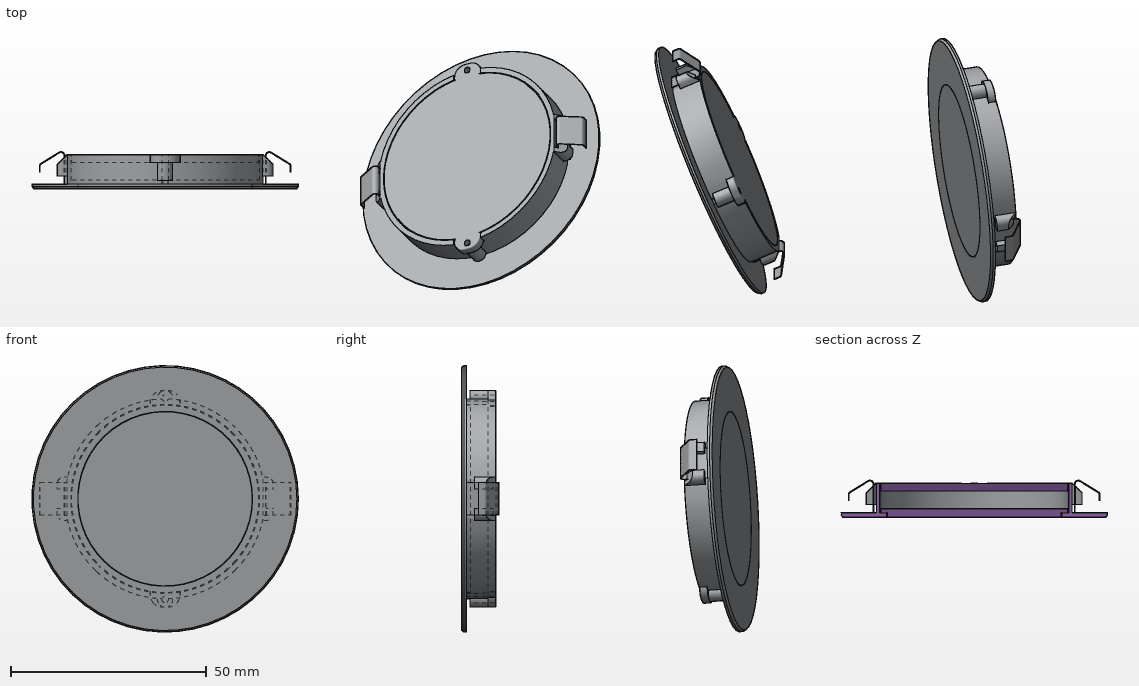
import cadquery as cq
import math


flange_diameter = 68.0
flange_thickness = 1.2
rim_chamfer_depth = 0.6
rim_chamfer_width = 0.4

body_diameter = 51.0
body_back = 8.8
body_bore_diameter = 48.2
side_flat_x = 25.0

opening_diameter = 44.6
lens_diameter = 44.4
lens_rim_diameter = 47.8
lens_rim_thickness = 1.0

screw_boss_diameter = 3.9
screw_boss_front = 2.1
screw_boss_z = 25.7
screw_hole_diameter = 1.6

cover_diameter = 47.8
cover_thickness = 2.05
ear_width = 7.5
ear_flat_width = 1.35
ear_edge_radius = 0.35
ear_clearance = 0.15

guide_front = 3.25
guide_outer_x = 27.55
guide_outer_z = 5.5
guide_inner_z = 2.5
guide_corner_radius = 1.6
guide_slope_start = 6.25
guide_slot_outer_x = 25.85
guide_slot_half_width = 4.2

strip_thickness = 0.2
spring_width = 8.2
spring_leg_x = 25.6
spring_lip_x = 32.1
spring_lip_front = 4.3
spring_top = 9.5
top_bend_radius = 1.0
lip_bend_radius = 0.8
arm_slope = 32.0

cover_front = body_back - cover_thickness
ear_top = screw_boss_z + screw_boss_diameter / 2
ear_corner_radius = (ear_width - ear_flat_width) / 2
SIDES = (1, -1)


def section_at(y):
    """Sketch plane at depth y, with local axes along X and Z."""
    return cq.Workplane("XZ", origin=(0, y, 0))


def disc(diameter, y_front, y_back, z=0):
    """Cylinder along Y between two depths, centred at height z."""
    return section_at(y_front).center(0, z).circle(diameter / 2).extrude(y_front - y_back)


def box_between(x_range, y_range, z_range):
    """Axis-aligned block given by its limits."""
    limits = (x_range, y_range, z_range)
    sizes = [high - low for low, high in limits]
    centre = tuple((low + high) / 2 for low, high in limits)
    return cq.Workplane("XY").box(*sizes).translate(centre)


def other_side(shape, side):
    """The shape itself for side 1, or turned half a turn about Y for side -1."""
    return shape if side == 1 else shape.rotate((0, 0, 0), (0, 1, 0), 180)


def make_flange():
    rim_radius = flange_diameter / 2
    return (
        cq.Workplane("XY")
        .moveTo(0, 0)
        .lineTo(rim_radius - rim_chamfer_width, 0)
        .lineTo(rim_radius, rim_chamfer_depth)
        .lineTo(rim_radius, flange_thickness)
        .lineTo(0, flange_thickness)
        .close()
        .revolve(360, (0, 0, 0), (0, 1, 0))
    )


def make_body_wall():
    """Round wall with a flat on each side, behind the springs."""
    half_size = body_diameter / 2
    between_flats = box_between(
        (-side_flat_x, side_flat_x), (0, body_back), (-half_size, half_size)
    )
    return disc(body_diameter, flange_thickness, body_back).intersect(between_flats)


def make_guide_pair():
    """Both +X guides: rounded outer corners, a sloped back and a slot for the spring."""
    corner_x = guide_outer_x - guide_corner_radius
    corner_z = guide_outer_z - guide_corner_radius
    corner_middle = guide_corner_radius * math.sqrt(0.5)
    wall_x = body_bore_diameter / 2
    post = (
        section_at(guide_front)
        .moveTo(wall_x, guide_inner_z)
        .lineTo(guide_outer_x, guide_inner_z)
        .lineTo(guide_outer_x, corner_z)
        .threePointArc(
            (corner_x + corner_middle, corner_z + corner_middle), (corner_x, guide_outer_z)
        )
        .lineTo(wall_x, guide_outer_z)
        .close()
        .extrude(guide_front - body_back)
    )
    slope_run = body_back - guide_slope_start
    slope_waste = (
        cq.Workplane("XY")
        .moveTo(guide_outer_x, guide_slope_start)
        .lineTo(guide_outer_x, body_back)
        .lineTo(guide_outer_x - slope_run, body_back)
        .close()
        .extrude(guide_outer_z)
    )
    slot = box_between(
        (side_flat_x, guide_slot_outer_x), (guide_front, body_back), (0, guide_slot_half_width)
    )
    post = post.cut(slope_waste).cut(slot)
    return post.union(post.mirror("XY"))


def make_ear():
    """Upper cover ear: a rounded block with a rounded back edge."""
    side_x = ear_width / 2
    flat_x = ear_flat_width / 2
    corner_z = ear_top - ear_corner_radius
    corner_middle = ear_corner_radius * math.sqrt(0.5)
    return (
        section_at(cover_front)
        .moveTo(-side_x, 0)
        .lineTo(side_x, 0)
        .lineTo(side_x, corner_z)
        .threePointArc((flat_x + corner_middle, corner_z + corner_middle), (flat_x, ear_top))
        .lineTo(-flat_x, ear_top)
        .threePointArc((-flat_x - corner_middle, corner_z + corner_middle), (-side_x, corner_z))
        .close()
        .extrude(-cover_thickness)
        .faces(">Y")
        .fillet(ear_edge_radius)
    )


def make_ear_notch():
    """Cutter for the upper body wall: a straight slot slightly wider than the ear."""
    notch_side_x = ear_width / 2 + ear_clearance
    return box_between((-notch_side_x, notch_side_x), (cover_front, body_back), (0, ear_top))


def make_cover():
    cover = disc(cover_diameter, cover_front, body_back)
    for side in SIDES:
        cover = cover.union(other_side(make_ear(), side))
    for side in SIDES:
        cover = cover.cut(disc(screw_hole_diameter, cover_front, body_back, z=side * screw_boss_z))
    return cover


def make_housing():
    housing = make_flange().union(make_body_wall())
    for side in SIDES:
        screw_boss = disc(screw_boss_diameter, screw_boss_front, cover_front, z=side * screw_boss_z)
        housing = housing.union(screw_boss).union(other_side(make_guide_pair(), side))
    housing = housing.cut(disc(opening_diameter, 0, flange_thickness))
    housing = housing.cut(disc(body_bore_diameter, flange_thickness, body_back))
    for side in SIDES:
        screw_hole = disc(screw_hole_diameter, flange_thickness, body_back, z=side * screw_boss_z)
        housing = housing.cut(screw_hole).cut(other_side(make_ear_notch(), side))
    return housing


def make_lens():
    rim_back = flange_thickness + lens_rim_thickness
    return disc(lens_diameter, 0, flange_thickness).union(
        disc(lens_rim_diameter, flange_thickness, rim_back)
    )


def make_spring():
    """+X spring: both bends curve the same way, joined by the straight sloping arm."""
    arm_angle = math.radians(90 - arm_slope)
    top_x = spring_leg_x + top_bend_radius
    top_y = spring_top - top_bend_radius
    lip_x = spring_lip_x - lip_bend_radius
    radius_drop = top_bend_radius - lip_bend_radius
    lip_y = top_y + (radius_drop - (lip_x - top_x) * math.cos(arm_angle)) / math.sin(arm_angle)

    def on_top_bend(radius, angle):
        return (top_x + radius * math.cos(angle), top_y + radius * math.sin(angle))

    def on_lip_bend(radius, angle):
        return (lip_x + radius * math.cos(angle), lip_y + radius * math.sin(angle))

    top_inner = top_bend_radius - strip_thickness
    lip_inner = lip_bend_radius - strip_thickness
    top_middle = (math.pi + arm_angle) / 2
    lip_middle = arm_angle / 2
    return (
        cq.Workplane("XY", origin=(0, 0, -spring_width / 2))
        .moveTo(spring_leg_x, flange_thickness)
        .lineTo(spring_leg_x, top_y)
        .threePointArc(on_top_bend(top_bend_radius, top_middle), on_top_bend(top_bend_radius, arm_angle))
        .lineTo(*on_lip_bend(lip_bend_radius, arm_angle))
        .threePointArc(on_lip_bend(lip_bend_radius, lip_middle), on_lip_bend(lip_bend_radius, 0))
        .lineTo(spring_lip_x, spring_lip_front)
        .lineTo(spring_lip_x - strip_thickness, spring_lip_front)
        .lineTo(*on_lip_bend(lip_inner, 0))
        .threePointArc(on_lip_bend(lip_inner, lip_middle), on_lip_bend(lip_inner, arm_angle))
        .lineTo(*on_top_bend(top_inner, arm_angle))
        .threePointArc(on_top_bend(top_inner, top_middle), on_top_bend(top_inner, math.pi))
        .lineTo(spring_leg_x + strip_thickness, flange_thickness)
        .close()
        .extrude(spring_width)
    )


housing = make_housing().solids()
lens = make_lens().solids()
cover = make_cover().solids()
springs = [other_side(make_spring(), side) for side in SIDES]

result = cq.Compound.makeCompound(
    [housing.val(), lens.val(), cover.val(), *[spring.val() for spring in springs]]
)